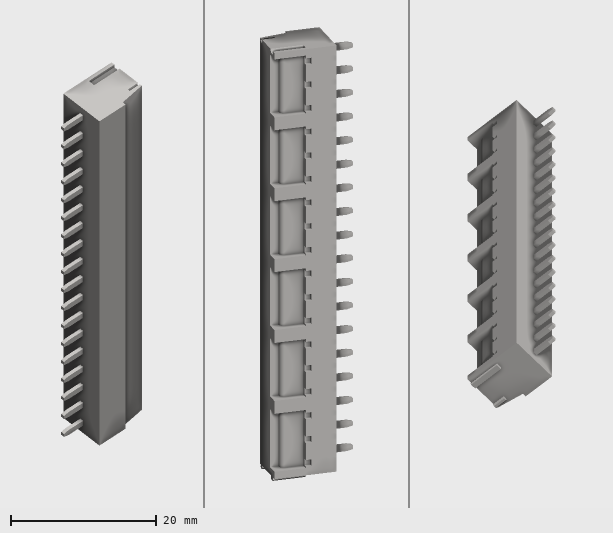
import cadquery as cq

BODY_WIDTH = 7.4
BODY_DEPTH = 9.0
TAB_DROP = 0.5
BODY_HEIGHT = 63.55 - TAB_DROP
SHOULDER_Y = 4.9
SHOULDER_WIDTH = 0.6
BACK_WIDTH = 6.15

PIN_COUNT = 18
PIN_PITCH = 3.5
PIN_X = 3.75
LOWEST_PIN_Z = 1.9
PIN_LENGTH = 3.55
PIN_EMBED = 0.65
PIN_WIDTH = 0.6
PIN_HEIGHT = 0.95
PIN_TIP_LENGTH = 0.8
PIN_TIP_HEIGHT = 0.6

PINS_PER_WINDOW = 3
WINDOW_COUNT = PIN_COUNT // PINS_PER_WINDOW
WINDOW_PITCH = PINS_PER_WINDOW * PIN_PITCH
WINDOW_HEIGHT = 8.6
WINDOW_LENGTH = 4.6
LOWEST_WINDOW_Z = 1.1
WINDOW_DEPTH = 1.1
STEP_DEPTH = 1.9
STEP_LENGTH = 1.2
STEP_RADIUS = 0.65

NOTCH_LENGTH = 0.8
NOTCH_HEIGHT = 0.95
NOTCH_DEPTH = 0.65
NOTCH_DROP = 0.1

WIDE_TAB_X = 0.6
WIDE_TAB_WIDTH = 0.95
WIDE_TAB_BEVEL = 0.1
WIDE_TAB_RIDGE_DROP = 0.3
WIDE_TAB_LENGTH = 4.75
BEAD_X = 5.6
BEAD_WIDTH = 0.75
BEAD_NECK = 0.4
BEAD_LENGTH = 1.9
GROOVE_DEPTH = TAB_DROP
GROOVE_FLARE = 0.1


def corner_box(x, y, z, width, length, height):
    """Box with its lowest corner at (x, y, z)."""
    return cq.Workplane("XY").box(width, length, height, centered=False).translate((x, y, z))


def extrude_to_back(points, length):
    """XZ outline run along Y over the given length, ending at the +Y face."""
    outline = cq.Workplane("XZ", origin=(0, BODY_DEPTH, 0)).polyline(points).close()
    return outline.extrude(length)


def make_body():
    outline = [
        (0, 0),
        (BODY_WIDTH, 0),
        (BODY_WIDTH, SHOULDER_Y),
        (BODY_WIDTH - SHOULDER_WIDTH, SHOULDER_Y),
        (BACK_WIDTH, BODY_DEPTH),
        (0, BODY_DEPTH),
    ]
    return cq.Workplane("XY").polyline(outline).close().extrude(BODY_HEIGHT)


def make_window(bottom):
    """Window open to -X and +Y; its floor drops over a rounded edge to a deeper step."""
    front = BODY_DEPTH - WINDOW_LENGTH
    step = BODY_DEPTH - STEP_LENGTH
    return (
        cq.Workplane("XY", origin=(0, 0, bottom))
        .moveTo(0, front)
        .lineTo(WINDOW_DEPTH, front)
        .lineTo(WINDOW_DEPTH, step - STEP_RADIUS)
        .radiusArc((WINDOW_DEPTH + STEP_RADIUS, step), STEP_RADIUS)
        .lineTo(STEP_DEPTH, step)
        .lineTo(STEP_DEPTH, BODY_DEPTH)
        .lineTo(0, BODY_DEPTH)
        .close()
        .extrude(WINDOW_HEIGHT)
    )


def make_notch(center_z):
    front = BODY_DEPTH - WINDOW_LENGTH - NOTCH_LENGTH
    return corner_box(0, front, center_z - NOTCH_HEIGHT / 2, NOTCH_DEPTH, NOTCH_LENGTH, NOTCH_HEIGHT)


def make_pin(center_z):
    """Flat pin whose end tapers in height."""
    half = PIN_HEIGHT / 2
    half_tip = PIN_TIP_HEIGHT / 2
    taper_start = PIN_TIP_LENGTH - PIN_LENGTH
    outline = [
        (PIN_EMBED, -half),
        (taper_start, -half),
        (-PIN_LENGTH, -half_tip),
        (-PIN_LENGTH, half_tip),
        (taper_start, half),
        (PIN_EMBED, half),
    ]
    start = (PIN_X - PIN_WIDTH / 2, 0, center_z)
    return cq.Workplane("YZ", origin=start).polyline(outline).close().extrude(PIN_WIDTH)


def bead_outline(base_z):
    """Hexagon with its narrow ends at base_z and one tab drop below it."""
    wide = BEAD_WIDTH / 2
    narrow = BEAD_NECK / 2
    middle_z = base_z - TAB_DROP / 2
    end_z = base_z - TAB_DROP
    return [
        (BEAD_X - narrow, base_z),
        (BEAD_X - wide, middle_z),
        (BEAD_X - narrow, end_z),
        (BEAD_X + narrow, end_z),
        (BEAD_X + wide, middle_z),
        (BEAD_X + narrow, base_z),
    ]


def make_wide_tab():
    """Tab with an upright +X side and a ridged -X side."""
    left = WIDE_TAB_X + WIDE_TAB_BEVEL
    right = WIDE_TAB_X + WIDE_TAB_WIDTH
    outline = [
        (left, 0),
        (WIDE_TAB_X, -WIDE_TAB_RIDGE_DROP),
        (left, -TAB_DROP),
        (right, -TAB_DROP),
        (right, 0),
    ]
    return extrude_to_back(outline, WIDE_TAB_LENGTH)


def make_wide_groove():
    right = WIDE_TAB_X + WIDE_TAB_WIDTH
    floor = BODY_HEIGHT - GROOVE_DEPTH
    outline = [
        (WIDE_TAB_X, BODY_HEIGHT),
        (WIDE_TAB_X, floor),
        (right, floor),
        (right + GROOVE_FLARE, BODY_HEIGHT),
    ]
    return extrude_to_back(outline, WIDE_TAB_LENGTH)


pin_heights = [LOWEST_PIN_Z + i * PIN_PITCH for i in range(PIN_COUNT)]

result = make_body()
for i in range(WINDOW_COUNT):
    result = result.cut(make_window(LOWEST_WINDOW_Z + i * WINDOW_PITCH))
for height in pin_heights:
    result = result.cut(make_notch(height - NOTCH_DROP))
    result = result.union(make_pin(height))

result = result.cut(make_wide_groove())
result = result.cut(extrude_to_back(bead_outline(BODY_HEIGHT), BEAD_LENGTH))
result = result.union(make_wide_tab())
result = result.union(extrude_to_back(bead_outline(0), BEAD_LENGTH))